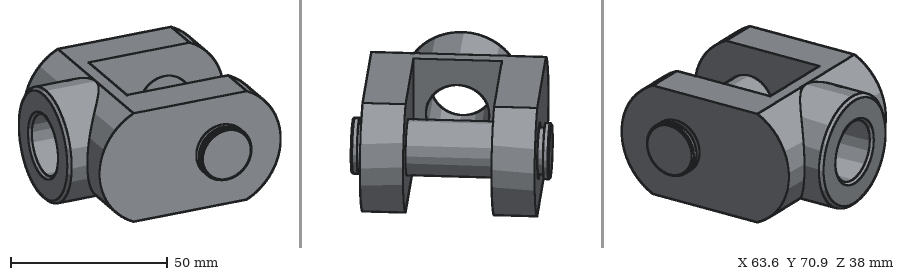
import cadquery as cq

clevis_width = 56.0
clevis_height = 38.0
end_radius = 21.0
end_spacing = 22.35
slot_width = 28.4
slot_floor_y = -26.95

boss_diameter = clevis_height
boss_face_y = end_radius - 70.9
boss_chamfer = 1.05
bore_diameter = 20.3
bore_chamfer = 0.9

pin_diameter = 18.0
pin_length = 63.6
pin_chamfer = 0.5
groove_diameter = 15.0
collar_width = 2.0


def x_cylinder(diameter, length):
    """Cylinder on the X axis, centered on the origin."""
    return cq.Workplane("YZ").circle(diameter / 2).extrude(length / 2, both=True)


def y_cylinder(diameter, start_y, end_y):
    """Cylinder on the Y axis from start_y up to end_y."""
    return (
        cq.Workplane("XZ", origin=(0, start_y, 0))
        .circle(diameter / 2)
        .extrude(start_y - end_y)
    )


def make_clevis_block():
    """Block with flat top and bottom and cylindrical ends."""
    half_height = clevis_height / 2
    flat_offset = (end_radius**2 - half_height**2) ** 0.5
    back_flat_y = flat_offset
    front_center_y = -end_spacing
    front_flat_y = front_center_y - flat_offset
    return (
        cq.Workplane("YZ")
        .moveTo(back_flat_y, half_height)
        .threePointArc((end_radius, 0), (back_flat_y, -half_height))
        .lineTo(front_flat_y, -half_height)
        .threePointArc((front_center_y - end_radius, 0), (front_flat_y, half_height))
        .close()
        .extrude(clevis_width / 2, both=True)
    )


def make_clevis():
    """Forked housing with a bored boss and a cross hole for the pin."""
    boss = y_cylinder(boss_diameter, boss_face_y, slot_floor_y).faces("<Y").chamfer(boss_chamfer)

    slot_length = end_radius - slot_floor_y
    slot = cq.Workplane("XY").box(slot_width, slot_length, clevis_height).translate(
        (0, slot_floor_y + slot_length / 2, 0)
    )

    bore = y_cylinder(bore_diameter, boss_face_y, slot_floor_y)
    bore_mouth = (
        cq.Workplane("XZ", origin=(0, boss_face_y, 0))
        .circle(bore_diameter / 2 + bore_chamfer)
        .workplane(offset=-bore_chamfer)
        .circle(bore_diameter / 2)
        .loft(ruled=True)
    )
    pin_hole = x_cylinder(pin_diameter, clevis_width)

    return make_clevis_block().union(boss).cut(slot).cut(bore).cut(bore_mouth).cut(pin_hole)


def make_pin():
    """Pin with a groove between each clevis cheek and the chamfered end collar."""
    shank = x_cylinder(pin_diameter, pin_length).faces("<X or >X").chamfer(pin_chamfer)
    between_collars = pin_length - 2 * collar_width
    groove_cutter = (
        x_cylinder(pin_diameter, between_collars)
        .cut(x_cylinder(groove_diameter, between_collars))
        .cut(x_cylinder(pin_diameter, clevis_width))
    )
    return shank.cut(groove_cutter)


clevis = make_clevis()
pin = make_pin()
result = cq.Compound.makeCompound([*clevis.solids().vals(), *pin.solids().vals()])